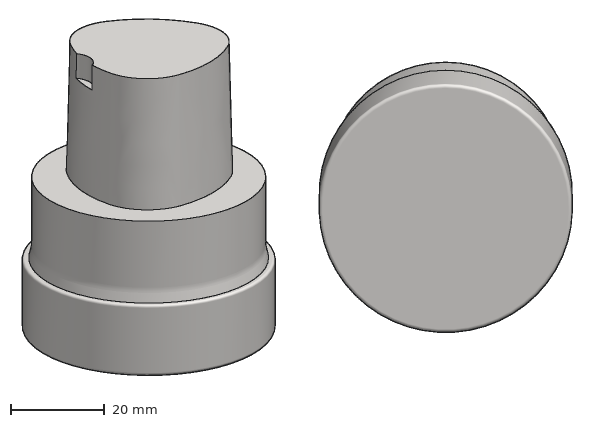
import cadquery as cq
import math

total_height = 65.0
flange_height = 16.4
shoulder_height = 35.05

flange_diameter = 54.1
flange_top_fillet = 0.6
flange_bottom_fillet = 0.8

collar_diameter = 50.0
foot_diameter = 51.2
flare_start_height = 19.6
cone_top_height = 18.45
cone_top_diameter = 50.25

base_lobe_radius = 12.1
lobe_offset = 6.55
taper_ratio = 1 / 20
lobe_count = 3
lobe_half_angle = 39.5

notch_radius = 5.0
notch_depth = 5.65
notch_inner_y = -13.9


def make_flange():
    flange = cq.Workplane("XY").circle(flange_diameter / 2).extrude(flange_height)
    flange = flange.edges(">Z").fillet(flange_top_fillet)
    return flange.edges("<Z").fillet(flange_bottom_fillet)


def make_collar():
    collar_radius = collar_diameter / 2
    cone_top_radius = cone_top_diameter / 2
    return (
        cq.Workplane("XZ")
        .moveTo(0, flange_height)
        .lineTo(foot_diameter / 2, flange_height)
        .lineTo(cone_top_radius, cone_top_height)
        .tangentArcPoint((collar_radius, flare_start_height), relative=False)
        .lineTo(collar_radius, shoulder_height)
        .lineTo(0, shoulder_height)
        .close()
        .revolve(360, (0, 0), (0, 1))
    )


def polar_point(distance, angle, z):
    angle = math.radians(angle)
    return cq.Vector(distance * math.cos(angle), distance * math.sin(angle), z)


def lobed_outline(lobe_radius, z):
    """Closed outline of alternating lobe arcs and tangent, flatter arcs."""
    pitch = 360 / lobe_count
    half_pitch = pitch / 2
    flat_half_angle = math.radians(half_pitch - lobe_half_angle)
    center_gap = lobe_offset * math.sin(math.radians(half_pitch)) / math.sin(flat_half_angle)
    flat_center_offset = (
        center_gap * math.cos(flat_half_angle) - lobe_offset * math.cos(math.radians(half_pitch))
    )
    flat_reach = center_gap + lobe_radius - flat_center_offset

    edges = []
    for i in range(lobe_count):
        direction = 90 + i * pitch
        lobe_center = polar_point(lobe_offset, direction, z)
        next_lobe_center = polar_point(lobe_offset, direction + pitch, z)
        seam_before = lobe_center + polar_point(lobe_radius, direction - lobe_half_angle, 0)
        seam_after = lobe_center + polar_point(lobe_radius, direction + lobe_half_angle, 0)
        next_seam = next_lobe_center + polar_point(lobe_radius, direction + pitch - lobe_half_angle, 0)
        lobe_tip = polar_point(lobe_offset + lobe_radius, direction, z)
        flat_middle = polar_point(flat_reach, direction + half_pitch, z)
        edges.append(cq.Edge.makeThreePointArc(seam_before, lobe_tip, seam_after))
        edges.append(cq.Edge.makeThreePointArc(seam_after, flat_middle, next_seam))
    return cq.Wire.assembleEdges(edges)


def make_polygon_shank():
    top_radius = base_lobe_radius - (total_height - shoulder_height) * taper_ratio / 2
    base = lobed_outline(base_lobe_radius, shoulder_height)
    top = lobed_outline(top_radius, total_height)
    return cq.Workplane(cq.Solid.makeLoft([base, top], True))


def make_notch():
    return (
        cq.Workplane("XY")
        .workplane(offset=total_height - notch_depth)
        .center(0, notch_inner_y - notch_radius)
        .circle(notch_radius)
        .extrude(notch_depth)
    )


def make_shank():
    return make_collar().union(make_polygon_shank().cut(make_notch()))


flange = make_flange()
shank = make_shank()

result = cq.Compound.makeCompound([flange.val(), shank.val()])